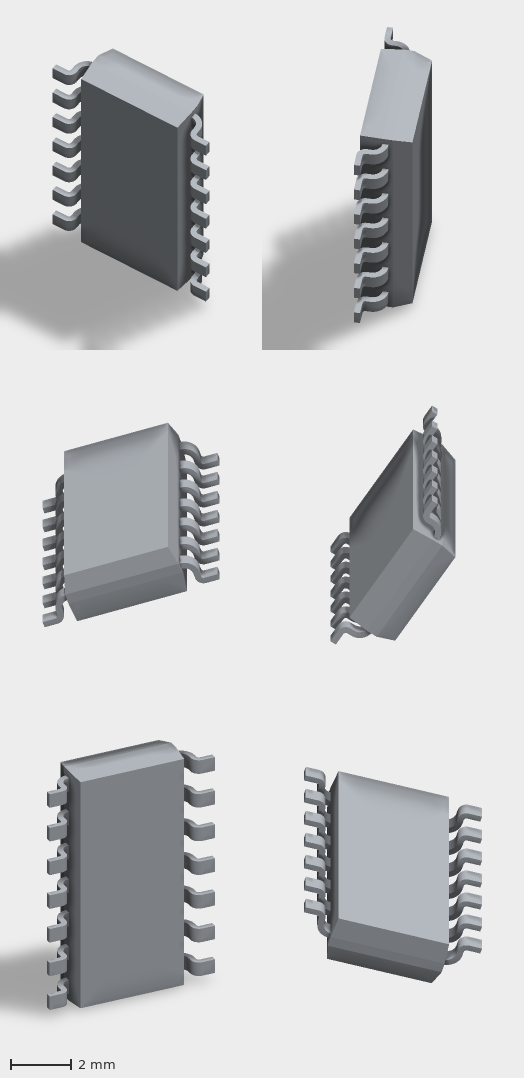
import cadquery as cq
import math

body_length = 8.64
body_width = 3.95
package_height = 1.75
lead_span = 6.1

front_taper_depth = 0.76
back_taper_depth = 0.63
front_inset = 0.06
back_inset = 0.16

leads_per_side = 7
lead_pitch = 1.27
lead_width = 0.51
lead_thickness = 0.21
lead_height = 0.98
foot_inner_radius = 0.095
shoulder_outer_radius = 0.53

foot_outer_radius = foot_inner_radius + lead_thickness
shoulder_inner_radius = shoulder_outer_radius - lead_thickness


def tapered_block(y_wide, y_narrow, inset):
    """Block that shrinks by the inset on every side from y_wide to y_narrow."""
    return (
        cq.Workplane("XZ", origin=(0, y_wide, 0))
        .rect(body_width, body_length)
        .workplane(offset=y_wide - y_narrow)
        .rect(body_width - 2 * inset, body_length - 2 * inset)
        .loft(ruled=True)
    )


def make_body():
    band_front = front_taper_depth
    band_back = package_height - back_taper_depth
    band = tapered_block(band_front, band_back, 0)
    front = tapered_block(band_front, 0, front_inset)
    back = tapered_block(band_back, package_height, back_inset)
    return band.union(front).union(back)


def make_lead():
    """Right-hand lead, centred on z = 0, from the body side to the foot tip."""
    tip_x = lead_span / 2
    body_x = body_width / 2
    leg_outer_x = body_x + shoulder_outer_radius
    leg_inner_x = leg_outer_x - lead_thickness
    shoulder_y = lead_height - shoulder_outer_radius
    foot_bend_x = leg_inner_x + foot_outer_radius
    foot_bend_y = foot_outer_radius
    diagonal = math.sqrt(0.5)

    def shoulder_middle(radius):
        return (body_x + radius * diagonal, shoulder_y + radius * diagonal)

    def foot_middle(radius):
        return (foot_bend_x - radius * diagonal, foot_bend_y - radius * diagonal)

    return (
        cq.Workplane("XY", origin=(0, 0, -lead_width / 2))
        .moveTo(body_x, lead_height)
        .threePointArc(shoulder_middle(shoulder_outer_radius), (leg_outer_x, shoulder_y))
        .lineTo(leg_outer_x, foot_bend_y)
        .threePointArc(foot_middle(foot_inner_radius), (foot_bend_x, lead_thickness))
        .lineTo(tip_x, lead_thickness)
        .lineTo(tip_x, 0)
        .lineTo(foot_bend_x, 0)
        .threePointArc(foot_middle(foot_outer_radius), (leg_inner_x, foot_bend_y))
        .lineTo(leg_inner_x, shoulder_y)
        .threePointArc(shoulder_middle(shoulder_inner_radius), (body_x, lead_height - lead_thickness))
        .close()
        .extrude(lead_width)
    )


result = make_body()
right_lead = make_lead()
left_lead = right_lead.mirror("YZ")
for index in range(leads_per_side):
    lead_z = (index - (leads_per_side - 1) / 2) * lead_pitch
    for lead in (right_lead, left_lead):
        result = result.union(lead.translate((0, 0, lead_z)))